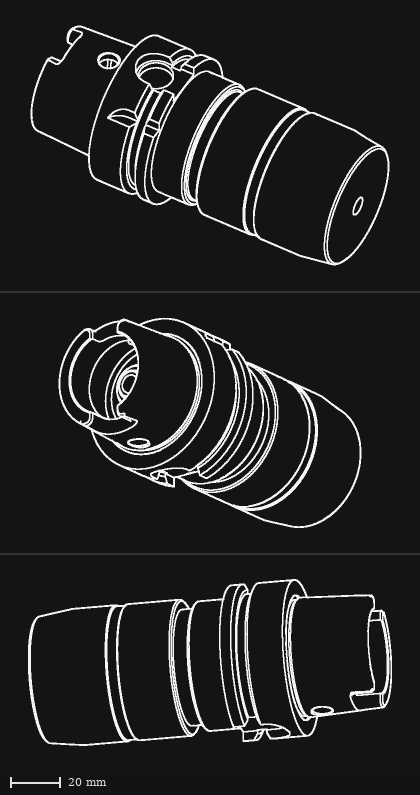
import cadquery as cq
import math


LENGTH = 138.7

SHANK_END_RADIUS = 22.7
SHANK_RADIUS = 24.1
SHANK_EDGE_ROUND = 0.8
TAPER_END = 29.7
LAND_END = 30.5
UNDERCUT_RADIUS = 47.0 / 2
UNDERCUT_START = 31.3
FACE_RELIEF_RADIUS = 25.2
FACE_RELIEF_DEPTH = 0.7

FLANGE_RADIUS = 31.5
FLANGE_START = 32.0
FLANGE_END = 58.0
GROOVE_FLOOR_RADIUS = 27.5
GROOVE_SHOULDER_RADIUS = 29.0
GROOVE_START = 48.1
GROOVE_END = 52.0
GROOVE_SLOPE = math.radians(30)

BODY_RADIUS = 26.2
BODY_END = 72.8
BODY_CHAMFER = 0.8
NECK_CHAMFER = 0.5
NECK_RADIUS = 47.0 / 2
SLEEVE_RADIUS = 55.0 / 2
SLEEVE_START = 79.2
SLEEVE_CHAMFER = 0.7
BAND_RADIUS = 27.0
BAND_START = 101.3
BAND_END = 106.2
BAND_CHAMFER = 0.4
NOSE_START = 124.3
NOSE_END_RADIUS = 25.7
NOSE_CHAMFER = 0.8

BORE_RADIUS = 34.0 / 2
BORE_MOUTH_CHAMFER = 0.4
RELIEF_RADIUS = 20.0
RELIEF_START = 12.9
RELIEF_END = 27.7
BORE_DEPTH = 30.5
BORE_FLOOR_ROUND = 1.4
COLLAR_RADIUS = 9.0
COLLAR_START = 19.4
COLLAR_CHAMFER_LENGTH = 1.5
COLLAR_CHAMFER = 1.0
TUBE_RADIUS = 12.0 / 2
TUBE_START = 17.3
TUBE_CHAMFER = 0.8
THROUGH_HOLE_DIAMETER = 7.5

SLOT_HALF_WIDTH = 6.2
SLOT_FLARE_RADIUS = 2.8
SLOT_FLARE_TOP = 20.7
SLOT_FLOOR_ROUND = 1.7
SLOT_MOUTH_CHAMFER = 0.8
UPPER_SLOT_DEPTH = 6.1
LOWER_SLOT_DEPTH = 9.7

ACCESS_HOLE_DIAMETER = 8.0
ACCESS_SINK_DIAMETER = 9.2
ACCESS_SINK_DEPTH = 0.5
ACCESS_HOLE_X = 23.2

NOTCH_RADIUS = 8.2
NOTCH_X = 45.1
NOTCH_FLOOR = 26.5
CHIP_POCKET_DIAMETER = 14.0
CHIP_POCKET_DEPTH = 3.0
CORNER_NOTCH_X = 44.0
CORNER_NOTCH_OFFSET = 20.0


def turned(points):
    """Solid of revolution about X from (x, radius) points."""
    return cq.Workplane("XY").polyline(points).close().revolve(360, (0, 0, 0), (1, 0, 0))


def outer_body():
    """Shank, flange, body, neck and clamping sleeve without any openings."""
    groove_run = (FLANGE_RADIUS - GROOVE_SHOULDER_RADIUS) * math.tan(GROOVE_SLOPE)
    shank = turned([(0, 0), (0, SHANK_END_RADIUS), (TAPER_END, SHANK_RADIUS), (TAPER_END, 0)])
    shank = shank.faces("<X").edges().fillet(SHANK_EDGE_ROUND)
    rest = turned([
        (TAPER_END, 0),
        (TAPER_END, SHANK_RADIUS),
        (LAND_END, SHANK_RADIUS),
        (UNDERCUT_START, UNDERCUT_RADIUS),
        (FLANGE_START + FACE_RELIEF_DEPTH, UNDERCUT_RADIUS),
        (FLANGE_START + FACE_RELIEF_DEPTH, FACE_RELIEF_RADIUS),
        (FLANGE_START, FACE_RELIEF_RADIUS),
        (FLANGE_START, FLANGE_RADIUS),
        (GROOVE_START - groove_run, FLANGE_RADIUS),
        (GROOVE_START, GROOVE_SHOULDER_RADIUS),
        (GROOVE_START, GROOVE_FLOOR_RADIUS),
        (GROOVE_END, GROOVE_FLOOR_RADIUS),
        (GROOVE_END, GROOVE_SHOULDER_RADIUS),
        (GROOVE_END + groove_run, FLANGE_RADIUS),
        (FLANGE_END, FLANGE_RADIUS),
        (FLANGE_END, BODY_RADIUS),
        (BODY_END - BODY_CHAMFER, BODY_RADIUS),
        (BODY_END, BODY_RADIUS - BODY_CHAMFER),
        (BODY_END, NECK_RADIUS + NECK_CHAMFER),
        (BODY_END + NECK_CHAMFER, NECK_RADIUS),
        (SLEEVE_START, NECK_RADIUS),
        (SLEEVE_START, SLEEVE_RADIUS - SLEEVE_CHAMFER),
        (SLEEVE_START + SLEEVE_CHAMFER, SLEEVE_RADIUS),
        (BAND_START, SLEEVE_RADIUS),
        (BAND_START + BAND_CHAMFER, BAND_RADIUS),
        (BAND_END - BAND_CHAMFER, BAND_RADIUS),
        (BAND_END, SLEEVE_RADIUS),
        (NOSE_START, SLEEVE_RADIUS),
        (LENGTH - NOSE_CHAMFER, NOSE_END_RADIUS),
        (LENGTH, NOSE_END_RADIUS - NOSE_CHAMFER),
        (LENGTH, 0),
    ])
    return shank.union(rest)


def shank_bore():
    """Bore with a wider clamping relief and a rounded floor, around the collar and coolant tube."""
    bore = (
        cq.Workplane("YZ")
        .circle(BORE_RADIUS).extrude(BORE_DEPTH)
        .faces(">X").edges().fillet(BORE_FLOOR_ROUND)
    )
    mouth = turned([
        (0, 0),
        (0, BORE_RADIUS + BORE_MOUTH_CHAMFER),
        (BORE_MOUTH_CHAMFER, BORE_RADIUS),
        (BORE_MOUTH_CHAMFER, 0),
    ])
    relief = (
        cq.Workplane("YZ", origin=(RELIEF_START, 0, 0))
        .circle(RELIEF_RADIUS).extrude(RELIEF_END - RELIEF_START)
    )
    tube = turned([
        (TUBE_START, 0),
        (TUBE_START, TUBE_RADIUS - TUBE_CHAMFER),
        (TUBE_START + TUBE_CHAMFER, TUBE_RADIUS),
        (COLLAR_START, TUBE_RADIUS),
        (COLLAR_START, COLLAR_RADIUS - COLLAR_CHAMFER),
        (COLLAR_START + COLLAR_CHAMFER_LENGTH, COLLAR_RADIUS),
        (BORE_DEPTH, COLLAR_RADIUS),
        (BORE_DEPTH, 0),
    ])
    return bore.union(mouth).union(relief).cut(tube)


def slot_section(growth):
    """Upper slot outline on the shank end face, with its walls moved outwards by growth."""
    wall = SLOT_HALF_WIDTH + growth
    radius = SLOT_FLARE_RADIUS - growth
    flare_start = SLOT_FLARE_TOP - SLOT_FLARE_RADIUS
    flare_top = flare_start + radius
    center_y = wall + radius
    diagonal = radius * math.sqrt(0.5)
    return (
        cq.Workplane("YZ")
        .moveTo(-wall, 0)
        .lineTo(-wall, flare_start)
        .threePointArc((-center_y + diagonal, flare_start + diagonal), (-center_y, flare_top))
        .lineTo(-FLANGE_RADIUS, flare_top)
        .lineTo(-FLANGE_RADIUS, FLANGE_RADIUS)
        .lineTo(FLANGE_RADIUS, FLANGE_RADIUS)
        .lineTo(FLANGE_RADIUS, flare_top)
        .lineTo(center_y, flare_top)
        .threePointArc((center_y - diagonal, flare_start + diagonal), (wall, flare_start))
        .lineTo(wall, 0)
        .close()
    )


def driving_slot(depth):
    """Upper driving slot: flared walls, rounded floor edge and chamfered mouth."""
    slot = slot_section(0).extrude(depth).faces(">X").edges().fillet(SLOT_FLOOR_ROUND)
    mouth = slot_section(SLOT_MOUTH_CHAMFER).extrude(SLOT_MOUTH_CHAMFER, taper=45)
    return slot.union(mouth)


def turn_over(shape):
    """Copy on the opposite side of the axis."""
    return shape.rotate((0, 0, 0), (1, 0, 0), 180)


def access_hole():
    """Countersunk hole from the upper taper surface into the bore."""
    sink_top = SHANK_END_RADIUS + (SHANK_RADIUS - SHANK_END_RADIUS) * ACCESS_HOLE_X / TAPER_END
    hole_radius = ACCESS_HOLE_DIAMETER / 2
    sink_radius = ACCESS_SINK_DIAMETER / 2
    clear_z = FLANGE_RADIUS
    return (
        cq.Workplane("XZ", origin=(ACCESS_HOLE_X, 0, 0))
        .polyline([
            (0, BORE_RADIUS),
            (hole_radius, BORE_RADIUS),
            (hole_radius, sink_top - ACCESS_SINK_DEPTH),
            (sink_radius, sink_top),
            (sink_radius, clear_z),
            (0, clear_z),
        ])
        .close()
        .revolve(360, (0, 0, 0), (0, 1, 0))
    )


def end_milled_notch(center_x, center_y, floor_z):
    """Round-ended notch of cutter width, open towards the body side of the flange."""
    height = FLANGE_RADIUS - floor_z
    run = FLANGE_END - center_x
    plane = cq.Workplane("XY", origin=(center_x, center_y, floor_z))
    round_end = plane.circle(NOTCH_RADIUS).extrude(height)
    channel = plane.rect(run, 2 * NOTCH_RADIUS).extrude(height).translate((run / 2, 0, 0))
    return round_end.union(channel)


def chip_pocket():
    """Round pocket in the floor of the upper flange notch."""
    return (
        cq.Workplane("XY", origin=(NOTCH_X, 0, NOTCH_FLOOR - CHIP_POCKET_DEPTH))
        .circle(CHIP_POCKET_DIAMETER / 2).extrude(CHIP_POCKET_DEPTH)
    )


center_notch = end_milled_notch(NOTCH_X, 0, NOTCH_FLOOR)
corner_notch = end_milled_notch(
    CORNER_NOTCH_X, -CORNER_NOTCH_OFFSET - NOTCH_RADIUS, CORNER_NOTCH_OFFSET
)
through_hole = cq.Workplane("YZ").circle(THROUGH_HOLE_DIAMETER / 2).extrude(LENGTH)

result = (
    outer_body()
    .cut(shank_bore())
    .cut(through_hole)
    .cut(driving_slot(UPPER_SLOT_DEPTH))
    .cut(turn_over(driving_slot(LOWER_SLOT_DEPTH)))
    .cut(access_hole())
    .cut(turn_over(access_hole()))
    .cut(center_notch)
    .cut(turn_over(center_notch))
    .cut(chip_pocket())
    .cut(corner_notch)
)